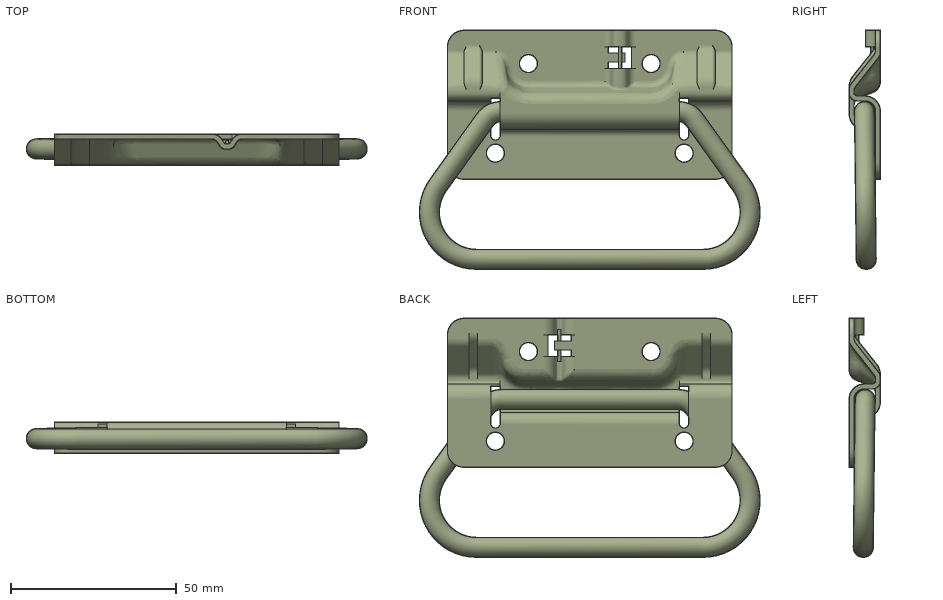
import cadquery as cq
import math


sheet = 1.5
plate_width = 85.9
plate_height = 45.0
corner_radius = 5.1
hole_diameter = 5.3
upper_hole_x, upper_hole_z = 18.5, 34.9
lower_hole_x, lower_hole_z = 28.5, 7.9

hood_depth = 9.5
end_base_z, end_front_z = 38.0, 28.0
middle_base_z, middle_front_z = 28.2, 25.1
curve_outer_base_x, curve_outer_front_x = 28.4, 27.3
curve_inner_base_x, curve_inner_front_x = 18.5, 17.8
outer_arc_share = 0.3
curve_inset_ratio = 0.7
crest_radius = 3.6
fold_radius = 2.5
foot_radius = 2.1

shelf_z = 23.6
shelf_bend_radius = 3.1
sleeve_half_width = 27.0
sleeve_z = 15.0
sleeve_radius = 4.7
sleeve_bend_radius = 2.2
slot_width = 2.8
slot_end_radius = 1.3
slot_bottom_z, slot_top_z = 11.9, 24.5

rib_x = 35.1
rib_width = 5.5
rib_height = 1.0
rib_edge_radius = 0.9
rib_tail = 2.1
rib_front_radius = 4.9

groove_x = 9.1
groove_depth = 4.5
groove_half_foot = 3.4
groove_half_crest = 1.5
groove_crest_radius = 2.2
groove_foot_radius = 2.2
groove_end_radius = 0.8
groove_margin = 6.2
groove_bottom_z = 25.7
window_left, window_right = 5.7, 12.5
window_bottom, window_top = 33.5, 40.0
tab_end_x = 10.7
tab_bottom, tab_top = 35.3, 38.1

pin_diameter = 1.0
pin_overlap = 1.5

rod_diameter = 6.1
handle_width = 102.8
pivot_depth, pivot_z = 4.8, 20.4
handle_bottom_z = -27.1
lower_bend_radius = 14.2
upper_bend_radius = 6.0
side_angle = 35.7
handle_tilt = 0.7

overrun = 3.1
tolerance = 0.01
height_margin = 0.1


def line_at(depth, base_z, front_z, inset):
    """Height at a depth of a slope running from the plate's front to the hood's front, moved inward."""
    run = hood_depth - sheet
    drop = base_z - front_z
    inward = inset * math.hypot(run, drop) / run
    return base_z - drop * (depth - sheet) / run - inward


def hood_outline(depth, inset, half_width):
    """Closed outline of the hood at one depth, with every wall moved inward by the inset."""
    part_way = (depth - sheet) / (hood_depth - sheet)
    shift = curve_inset_ratio * inset
    outer_x = curve_outer_base_x + (curve_outer_front_x - curve_outer_base_x) * part_way + shift
    inner_x = curve_inner_base_x + (curve_inner_front_x - curve_inner_base_x) * part_way + shift
    end_z = line_at(depth, end_base_z, end_front_z, inset)
    middle_z = line_at(depth, middle_base_z, middle_front_z, inset)

    run = outer_x - inner_x
    drop = end_z - middle_z
    half_turn = math.atan2(drop, run)
    both_radii = (run**2 + drop**2) / (2 * drop)
    arc_run = both_radii * math.sin(half_turn)
    arc_drop = both_radii * (1 - math.cos(half_turn))
    outer_run, outer_drop = outer_arc_share * arc_run, outer_arc_share * arc_drop
    inner_run, inner_drop = arc_run - outer_run, arc_drop - outer_drop
    mid_x = outer_x - outer_arc_share * run
    mid_z = end_z - outer_arc_share * drop

    shelf = shelf_z + inset
    return (
        cq.Workplane("XZ", origin=(0, -depth, 0))
        .moveTo(half_width, shelf)
        .lineTo(half_width, end_z)
        .lineTo(outer_x, end_z)
        .threePointArc((outer_x - outer_run, end_z - outer_drop), (mid_x, mid_z))
        .threePointArc((inner_x + inner_run, middle_z + inner_drop), (inner_x, middle_z))
        .lineTo(-inner_x, middle_z)
        .threePointArc((-inner_x - inner_run, middle_z + inner_drop), (-mid_x, mid_z))
        .threePointArc((-outer_x + outer_run, end_z - outer_drop), (-outer_x, end_z))
        .lineTo(-half_width, end_z)
        .lineTo(-half_width, shelf)
        .lineTo(-sleeve_half_width, shelf)
        .lineTo(-sleeve_half_width, sleeve_z + inset)
        .lineTo(sleeve_half_width, sleeve_z + inset)
        .lineTo(sleeve_half_width, shelf)
        .close()
        .val()
    )


def edges_at(body, depth, z_low, z_high):
    """Edges that lie at one depth, are not upright, and have their centre in a height range."""
    picked = []
    for edge in body.edges().vals():
        box = edge.BoundingBox()
        at_depth = box.ylen < tolerance and abs(edge.Center().y + depth) < tolerance
        if at_depth and box.xlen > tolerance and z_low < edge.Center().z < z_high:
            picked.append(edge)
    return picked


def level_edges(body, depth, z):
    """Edges that run along X at one depth and height."""
    return edges_at(body, depth, z - height_margin, z + height_margin)


def upright_edges(body, depth):
    """Edges that run along Z at one depth."""
    return [edge for edge in body.edges("|Z").vals() if abs(edge.Center().y + depth) < tolerance]


def fillet_edges(body, radius, edges):
    return cq.Workplane(body.val().fillet(radius, edges))


def hood(inset, slab, half_width):
    """Slab with the hood standing on it, all bends rounded."""
    slab_front = sheet - inset
    front = hood_depth - inset
    root = slab_front - sheet / 2
    outlines = [hood_outline(depth, inset, half_width) for depth in (root, front)]
    body = cq.Workplane(cq.Solid.makeLoft(outlines, True))

    shelf = shelf_z + inset
    sleeve = sleeve_z + inset
    above_shelf = shelf + height_margin
    below_top = plate_height - height_margin
    body = fillet_edges(body, sleeve_radius - inset, level_edges(body, front, sleeve))
    body = fillet_edges(body, crest_radius - inset, edges_at(body, front, above_shelf, below_top))
    body = fillet_edges(body, fold_radius - inset, level_edges(body, front, shelf))

    body = body.union(slab)
    body = fillet_edges(body, foot_radius + inset, edges_at(body, slab_front, above_shelf, below_top))
    body = fillet_edges(body, shelf_bend_radius + inset, level_edges(body, slab_front, shelf))
    return fillet_edges(body, sleeve_bend_radius + inset, level_edges(body, slab_front, sleeve))


def rib(x, inset):
    """Rib that follows an end slope and is cut off level with the hood's front."""
    width = rib_width - 2 * inset
    front = hood_depth - inset
    rise = -(rib_height - inset)
    slope_front = line_at(front, end_base_z, end_front_z, rise)
    bottom = shelf_z + fold_radius
    slab_front = sheet - inset
    foot_z = line_at(slab_front, end_base_z, end_front_z, rise)
    top = foot_z + rib_tail
    profile = [(inset, bottom), (inset, top), (-slab_front, top), (-slab_front, foot_z)]
    profile += [(-front, slope_front), (-front, bottom)]
    body = cq.Workplane("YZ", origin=(x - width / 2, 0, 0)).polyline(profile).close().extrude(width)
    corner = cq.selectors.NearestToPointSelector((x, -front, slope_front))
    body = body.edges(corner).fillet(rib_front_radius - inset)
    foot = cq.selectors.NearestToPointSelector((x, -slab_front, foot_z))
    body = body.edges(foot).fillet(foot_radius + inset)
    if inset < rib_edge_radius:
        slope_direction = cq.Vector(0, slab_front - front, slope_front - foot_z)
        slope_edges = body.faces("<X or >X").edges(cq.selectors.ParallelDirSelector(slope_direction))
        body = slope_edges.fillet(rib_edge_radius - inset)
    return body


def groove(inset, bottom, top):
    """Length of V-groove on a strip of plate."""
    strip_front = sheet - inset
    strip_back = -inset
    crest = groove_depth - inset
    slant = (groove_half_foot - groove_half_crest) / (groove_depth - sheet)
    narrowing = inset * (math.hypot(1, slant) - slant)
    half_foot = groove_half_foot - narrowing
    half_crest = groove_half_crest - narrowing
    right = [
        (groove_margin, strip_back),
        (groove_margin, strip_front),
        (half_foot, strip_front),
        (half_crest, crest),
    ]
    left = [(-x, depth) for x, depth in reversed(right)]
    profile = [(groove_x + x, -depth) for x, depth in right + left]
    body = cq.Workplane("XY", origin=(0, 0, bottom)).polyline(profile).close().extrude(top - bottom)

    foot_edges = [
        edge
        for edge in upright_edges(body, strip_front)
        if abs(edge.Center().x - groove_x) < groove_margin - tolerance
    ]
    body = fillet_edges(body, groove_foot_radius + inset, foot_edges)
    return fillet_edges(body, groove_crest_radius - inset, upright_edges(body, crest))


def round_groove_end(body, inset):
    """Blend the groove into the hood's middle slope."""
    half_width = groove_half_foot + groove_foot_radius
    left, right = groove_x - half_width, groove_x + half_width
    back, front = sheet - inset + tolerance, groove_depth - inset + tolerance
    low, high = groove_bottom_z, middle_base_z + foot_radius
    beside_slope = cq.selectors.BoxSelector((left, -front, low), (right, -back, high))
    meeting = [edge for edge in body.edges(beside_slope).vals() if edge.BoundingBox().xlen > tolerance]
    return fillet_edges(body, groove_end_radius, meeting)


def pressed_form(inset, slab, half_width, top_z):
    """Everything behind the sheet's front surface, or behind its back surface when inset."""
    body = hood(inset, slab, half_width)
    for x in (-rib_x, rib_x):
        body = body.union(rib(x, inset))
    body = body.union(groove(inset, window_top, top_z))
    body = body.union(groove(inset, groove_bottom_z, window_bottom))
    return round_groove_end(body, inset)


def through_box(left, right, bottom, top):
    reach = 2 * (hood_depth + overrun)
    box = cq.Workplane("XY").box(right - left, reach, top - bottom, centered=(False, True, False))
    return box.translate((left, 0, bottom))


def make_plate():
    outer_slab = (
        cq.Workplane("XY")
        .box(plate_width, sheet, plate_height, centered=(True, False, False))
        .translate((0, -sheet, 0))
    )
    hollow_width = plate_width + 2 * overrun
    hollow_slab = (
        cq.Workplane("XY")
        .box(hollow_width, sheet, plate_height + 2 * overrun, centered=(True, False, False))
        .translate((0, 0, -overrun))
    )
    front = pressed_form(0, outer_slab, plate_width / 2, plate_height)
    hollow = pressed_form(sheet, hollow_slab, hollow_width / 2, plate_height + overrun)
    body = front.cut(hollow)

    frame = (
        cq.Workplane("XZ", origin=(0, overrun, 0))
        .rect(plate_width, plate_height)
        .extrude(hood_depth + 2 * overrun)
        .translate((0, 0, plate_height / 2))
        .edges("|Y")
        .fillet(corner_radius)
    )
    body = body.intersect(frame)

    centres = [(side * upper_hole_x, upper_hole_z) for side in (-1, 1)]
    centres += [(side * lower_hole_x, lower_hole_z) for side in (-1, 1)]
    drill = cq.Workplane("XZ").pushPoints(centres).circle(hole_diameter / 2).extrude(sheet * 2, both=True)
    body = body.cut(drill)

    for side in (-1, 1):
        start = side * sleeve_half_width
        end = side * (sleeve_half_width + slot_width)
        slot = through_box(min(start, end), max(start, end), slot_bottom_z, slot_top_z)
        body = body.cut(slot.edges("|Y and <Z").fillet(slot_end_radius))

    window = through_box(window_left, window_right, window_bottom, window_top)
    tab = through_box(window_left, tab_end_x, tab_bottom, tab_top)
    tab = tab.intersect(outer_slab)
    return body.cut(window).union(tab).solids()


def make_handle():
    """Rod swept round a trapezium with rounded corners."""
    rod_radius = rod_diameter / 2
    turn = math.radians(side_angle)
    bottom = handle_bottom_z + rod_radius
    low_x = handle_width / 2 - rod_radius - lower_bend_radius
    low_z = bottom + lower_bend_radius
    side_low = (low_x + lower_bend_radius * math.cos(turn), low_z + lower_bend_radius * math.sin(turn))

    high_z = pivot_z - upper_bend_radius
    side_high_z = high_z + upper_bend_radius * math.sin(turn)
    side_high = (side_low[0] - (side_high_z - side_low[1]) * math.tan(turn), side_high_z)
    high_x = side_high[0] - upper_bend_radius * math.cos(turn)

    diagonal = math.radians(90 + side_angle) / 2
    high_mid_x = high_x + upper_bend_radius * math.cos(diagonal)
    high_mid_z = high_z + upper_bend_radius * math.sin(diagonal)
    path = (
        cq.Workplane("XZ")
        .moveTo(-high_x, pivot_z)
        .lineTo(high_x, pivot_z)
        .threePointArc((high_mid_x, high_mid_z), side_high)
        .lineTo(*side_low)
        .threePointArc((low_x + lower_bend_radius, low_z), (low_x, bottom))
        .lineTo(-low_x, bottom)
        .threePointArc((-low_x - lower_bend_radius, low_z), (-side_low[0], side_low[1]))
        .lineTo(-side_high[0], side_high[1])
        .threePointArc((-high_mid_x, high_mid_z), (-high_x, pivot_z))
        .close()
    )
    loop = cq.Workplane("YZ", origin=(-high_x, 0, pivot_z)).circle(rod_radius).sweep(path)
    loop = loop.rotate((0, 0, pivot_z), (1, 0, pivot_z), handle_tilt)
    return loop.translate((0, -pivot_depth, 0))


def make_pin():
    """Pin resting in the bottom of the groove, bridging the window."""
    radius = pin_diameter / 2
    depth = groove_depth - sheet - radius
    bottom = window_bottom - pin_overlap
    length = window_top - window_bottom + 2 * pin_overlap
    return cq.Workplane("XY", origin=(groove_x, -depth, bottom)).circle(radius).extrude(length)


plate = make_plate()
handle = make_handle()
pin = make_pin()

result = cq.Compound.makeCompound([plate.val(), handle.val(), pin.val()])